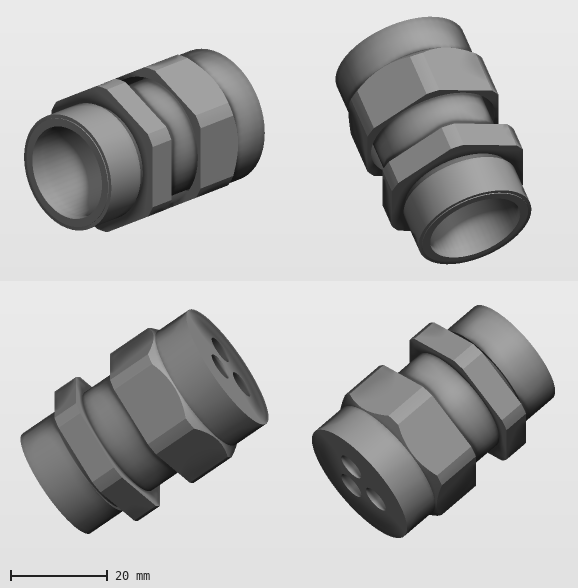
import cadquery as cq
import math

TOTAL_LENGTH = 44.3

HEX_FLATS = 29.0
HEX_CORNER_RADIUS = 16.0

MOUTH_STEP_END = 0.18
THREAD_END = 8.95
FLANGE_START = 10.45
FLANGE_END = 16.05

THREAD_RADIUS = 12.5
NECK_RADIUS = 11.7
BARREL_RADIUS = 12.3
BORE_RADIUS = 9.95

NUT_START = 24.8
NUT_CHAMFER_START = 34.6
COLLAR_START = 36.3
COLLAR_RADIUS = 14.25
CLEARANCE_RADIUS = 13.75
CLEARANCE_END = NUT_CHAMFER_START

SEAL_START = COLLAR_START
SEAL_RECESS_FLOOR_RADIUS = 8.7
SEAL_RECESS_DEPTH = BORE_RADIUS - SEAL_RECESS_FLOOR_RADIUS
CABLE_HOLE_COUNT = 3
CABLE_HOLE_RADIUS = 3.0
CABLE_HOLE_CIRCLE_RADIUS = 4.9


def cylinder(radius, start, end):
    """Round bar on the Y axis between two stations."""
    plane = cq.Plane(origin=(0, start, 0), xDir=(1, 0, 0), normal=(0, 1, 0))
    return cq.Workplane(plane).circle(radius).extrude(end - start)


def cone(start_radius, end_radius, start, end):
    """Solid cone on the Y axis whose radius changes from start to end."""
    outline = [(0, start), (start_radius, start), (end_radius, end), (0, end)]
    return cq.Workplane("XY").polyline(outline).close().revolve(360, (0, 0, 0), (0, 1, 0))


def hexagon(start, end):
    """Hexagonal bar with flats facing +X and -X and its corners turned round."""
    plane = cq.Plane(origin=(0, start, 0), xDir=(0, 0, 1), normal=(0, 1, 0))
    across_corners = HEX_FLATS / math.cos(math.pi / 6)
    bar = cq.Workplane(plane).polygon(6, across_corners).extrude(end - start)
    return bar.intersect(cylinder(HEX_CORNER_RADIUS, start, end))


def make_gland_body():
    """Threaded spigot, neck, hexagonal flange and barrel around one bore."""
    body = cylinder(NECK_RADIUS, 0, FLANGE_START)
    body = body.union(cylinder(THREAD_RADIUS, MOUTH_STEP_END, THREAD_END))
    body = body.union(hexagon(FLANGE_START, FLANGE_END))
    body = body.union(cylinder(BARREL_RADIUS, FLANGE_END, SEAL_START))
    return body.cut(cylinder(BORE_RADIUS, 0, SEAL_START))


def make_nut():
    """Chamfered hexagonal nut with a round collar, clear of the barrel at its open end."""
    nut = hexagon(NUT_START, COLLAR_START)
    chamfer_envelope = cylinder(HEX_CORNER_RADIUS, NUT_START, NUT_CHAMFER_START).union(
        cone(HEX_CORNER_RADIUS, COLLAR_RADIUS, NUT_CHAMFER_START, COLLAR_START)
    )
    nut = nut.intersect(chamfer_envelope)
    nut = nut.union(cylinder(COLLAR_RADIUS, COLLAR_START, TOTAL_LENGTH))
    nut = nut.cut(cylinder(CLEARANCE_RADIUS, NUT_START, CLEARANCE_END))
    return nut.cut(cylinder(BARREL_RADIUS, NUT_START, TOTAL_LENGTH))


def make_seal():
    """Round plug with a dished front and a ring of cable holes."""
    seal = cylinder(BARREL_RADIUS, SEAL_START, TOTAL_LENGTH)
    recess_floor = SEAL_START + SEAL_RECESS_DEPTH
    seal = seal.cut(cone(BORE_RADIUS, SEAL_RECESS_FLOOR_RADIUS, SEAL_START, recess_floor))
    hole = cylinder(CABLE_HOLE_RADIUS, SEAL_START, TOTAL_LENGTH)
    hole = hole.translate((-CABLE_HOLE_CIRCLE_RADIUS, 0, 0))
    for index in range(CABLE_HOLE_COUNT):
        angle = index * 360 / CABLE_HOLE_COUNT
        seal = seal.cut(hole.rotate((0, 0, 0), (0, 1, 0), angle))
    return seal


gland_body = make_gland_body()
nut = make_nut()
seal = make_seal()

result = cq.Compound.makeCompound([gland_body.val(), nut.val(), seal.val()])